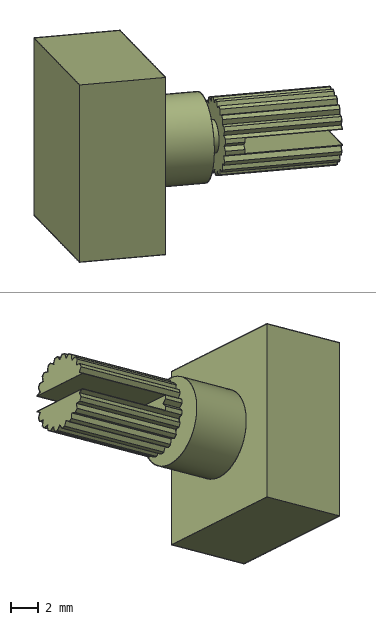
import cadquery as cq
import math

total_length = 21.1
body_width = 12.0
body_height = 13.7
body_depth = 6.6
bushing_diameter = 6.8
bushing_length = 4.5
neck_diameter = 2.5
neck_length = 1.0

tooth_count = 20
crest_radius = 2.93
root_radius = 2.6
crest_half_angle = 3.4
slot_width = 1.2
slot_floor_height = 1.5

bushing_start = body_depth
neck_start = bushing_start + bushing_length
head_start = neck_start + neck_length
head_length = total_length - head_start
slot_depth = head_length - slot_floor_height


def plane_at(y):
    """Plane at depth y that extrudes toward +Y, with its own x axis along X."""
    return cq.Workplane(cq.Plane(origin=(0, y, 0), xDir=(1, 0, 0), normal=(0, 1, 0)))


def cylinder(start, length, diameter):
    return plane_at(start).circle(diameter / 2).extrude(length)


def polar(radius, degrees):
    angle = math.radians(degrees)
    return (radius * math.cos(angle), radius * math.sin(angle))


def splined_head():
    """V-grooved cylinder with a groove root on the X axis."""
    pitch = 360 / tooth_count
    outline = plane_at(head_start).moveTo(*polar(root_radius, 0))
    for tooth in range(tooth_count):
        root_angle = tooth * pitch
        crest_angle = root_angle + pitch / 2
        outline = outline.lineTo(*polar(crest_radius, crest_angle - crest_half_angle))
        outline = outline.threePointArc(
            polar(crest_radius, crest_angle),
            polar(crest_radius, crest_angle + crest_half_angle),
        )
        if tooth < tooth_count - 1:
            outline = outline.lineTo(*polar(root_radius, root_angle + pitch))
    return outline.close().extrude(head_length)


def screwdriver_slot():
    """Slot across the full head, open at its tip."""
    slot_start = total_length - slot_depth
    return plane_at(slot_start).rect(2 * crest_radius, slot_width).extrude(slot_depth)


body = plane_at(0).rect(body_width, body_height).extrude(body_depth)
bushing = cylinder(bushing_start, bushing_length, bushing_diameter)
neck = cylinder(neck_start, neck_length, neck_diameter)
head = splined_head().cut(screwdriver_slot())

result = body.union(bushing).union(neck).union(head)